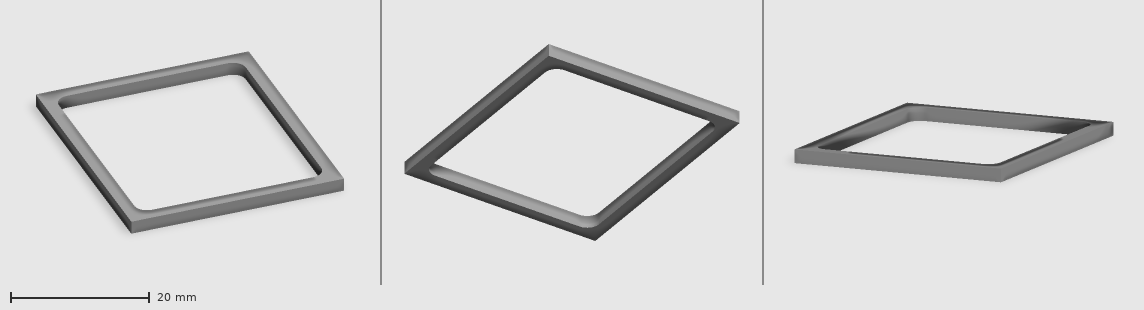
import cadquery as cq

length = 38.0
width = 33.0
thickness = 2.0
wall = 2.0
corner_radius = 2.0

plate = cq.Workplane("XY").box(length, width, thickness)

opening = (
    cq.Workplane("XY")
    .box(length - 2 * wall, width - 2 * wall, thickness)
    .edges("|Z")
    .fillet(corner_radius)
)

result = plate.cut(opening)